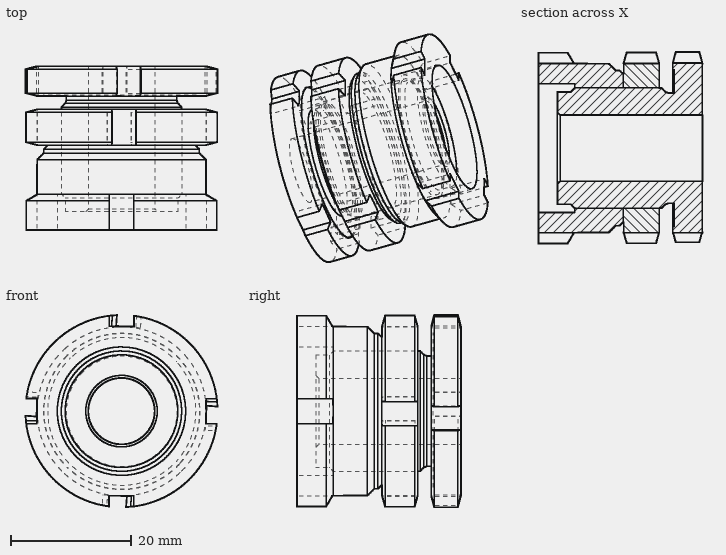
import cadquery as cq
import math


RIM_HALF_SPAN = 16.0
HEAD_SLOT_CORNER = 0.75
RIM_RADIUS = math.hypot(RIM_HALF_SPAN, HEAD_SLOT_CORNER)
SLOT_FLOOR = 14.07
SLOT_COUNT = 4
SLOT_OVERCUT = 0.65
BASE_SLOT_WIDTH = 4.12
NUT_SLOT_WIDTH = 4.0
NUT_SLOT_TURN = 1.6

FLANGE_DEPTH = 4.85
FLANGE_BEVEL = 1.15
FLANGE_END = FLANGE_DEPTH + FLANGE_BEVEL
BODY_RADIUS = SLOT_FLOOR
BODY_CHAMFER_START = 11.7
GROOVE_RADIUS = 12.95
GROOVE_LENGTH = 0.65
END_CHAMFER = 0.65
BASE_DEPTH = 14.1
RECESS_RADIUS = 10.68
RECESS_DEPTH = FLANGE_END

LOCK_NUT_DEPTH = 6.0
LOCK_NUT_BEVEL = 0.55

SHANK_RADIUS = 10.0
SHANK_CHAMFER = 0.65
TIP_START = 3.13
SHANK_END = 21.1
NECK_RADIUS = 9.2
NECK_START = 21.58
HEAD_START = 22.28
HEAD_BEVEL = 0.5
FACE_RECESS_RADIUS = 13.0
FACE_RECESS_DEPTH = 0.25
OVERALL_DEPTH = 27.27
BORE_RADIUS = 5.5
BORE_CHAMFER = 0.45


def turned(profile):
    """Solid of revolution about Y from (radius, Y) points."""
    return cq.Workplane("XY").polyline(profile).close().revolve(360, (0, 0, 0), (0, 1, 0))


def bevelled_disc(inner_radius, start, end, bevel):
    """Ring whose rim is bevelled on both faces down to the slot floor radius."""
    return turned([
        (inner_radius, start),
        (SLOT_FLOOR, start),
        (RIM_RADIUS, start + bevel),
        (RIM_RADIUS, end - bevel),
        (SLOT_FLOOR, end),
        (inner_radius, end),
    ])


def cut_slots(body, start, end, width, turn=0.0):
    """Cut evenly spaced flat-floored slots through the rim, turned about Y by some degrees."""
    height = RIM_RADIUS + SLOT_OVERCUT - SLOT_FLOOR
    cutter = (
        cq.Workplane("XY")
        .box(width, end - start, height, centered=(True, False, False))
        .translate((0, start, SLOT_FLOOR))
    )
    for index in range(SLOT_COUNT):
        angle = turn + index * 360 / SLOT_COUNT
        body = body.cut(cutter.rotate((0, 0, 0), (0, 1, 0), angle))
    return body


def make_base():
    """Flanged sleeve, open at the front, with a through hole for the shank."""
    groove_end = BASE_DEPTH - END_CHAMFER
    sleeve = turned([
        (RECESS_RADIUS, 0),
        (RIM_RADIUS, 0),
        (RIM_RADIUS, FLANGE_DEPTH),
        (BODY_RADIUS, FLANGE_END),
        (BODY_RADIUS, BODY_CHAMFER_START),
        (GROOVE_RADIUS, groove_end - GROOVE_LENGTH),
        (GROOVE_RADIUS, groove_end),
        (GROOVE_RADIUS - END_CHAMFER, BASE_DEPTH),
        (SHANK_RADIUS, BASE_DEPTH),
        (SHANK_RADIUS, RECESS_DEPTH),
        (RECESS_RADIUS, RECESS_DEPTH),
    ])
    return cut_slots(sleeve, 0, FLANGE_END, BASE_SLOT_WIDTH)


def make_lock_nut():
    """Slotted ring around the shank."""
    end = BASE_DEPTH + LOCK_NUT_DEPTH
    ring = bevelled_disc(SHANK_RADIUS, BASE_DEPTH, end, LOCK_NUT_BEVEL)
    return cut_slots(ring, BASE_DEPTH, end, NUT_SLOT_WIDTH, NUT_SLOT_TURN)


def make_screw():
    """Bored shank with a narrow tip, joined to the slotted head through a neck."""
    face_floor = HEAD_START + FACE_RECESS_DEPTH
    tip_radius = SHANK_RADIUS - SHANK_CHAMFER
    shank = turned([
        (BORE_RADIUS + BORE_CHAMFER, TIP_START),
        (tip_radius, TIP_START),
        (tip_radius, RECESS_DEPTH - SHANK_CHAMFER),
        (SHANK_RADIUS, RECESS_DEPTH),
        (SHANK_RADIUS, SHANK_END - SHANK_CHAMFER),
        (tip_radius, SHANK_END),
        (NECK_RADIUS, NECK_START),
        (NECK_RADIUS, face_floor),
        (BORE_RADIUS, face_floor),
        (BORE_RADIUS, TIP_START + BORE_CHAMFER),
    ])
    head_disc = bevelled_disc(BORE_RADIUS, HEAD_START, OVERALL_DEPTH, HEAD_BEVEL)
    face_recess = turned([
        (0, HEAD_START),
        (FACE_RECESS_RADIUS, HEAD_START),
        (FACE_RECESS_RADIUS, face_floor),
        (0, face_floor),
    ])
    head_disc = head_disc.cut(face_recess)
    corner_half_angle = math.degrees(math.asin(NUT_SLOT_WIDTH / 2 / RIM_RADIUS))
    corner_angle = math.degrees(math.asin(HEAD_SLOT_CORNER / RIM_RADIUS))
    slot_turn = corner_half_angle - corner_angle
    head = cut_slots(head_disc, HEAD_START, OVERALL_DEPTH, NUT_SLOT_WIDTH, slot_turn)
    return shank.union(head)


base = make_base()
lock_nut = make_lock_nut()
screw = make_screw()

result = cq.Compound.makeCompound([base.solids().val(), lock_nut.solids().val(), screw.solids().val()])